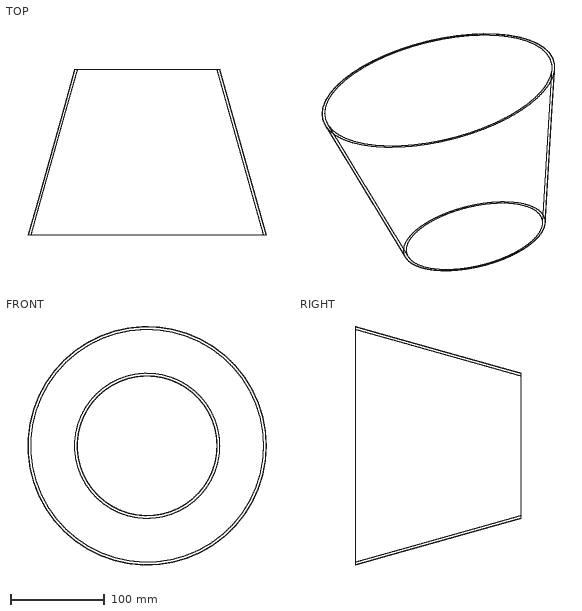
import cadquery as cq

length = 178.0
wide_diameter = 256.0
narrow_diameter = 156.0
radial_wall = 3.0

wide_radius = wide_diameter / 2
narrow_radius = narrow_diameter / 2

wall_section = (
    cq.Workplane("XY")
    .moveTo(wide_radius - radial_wall, 0)
    .lineTo(wide_radius, 0)
    .lineTo(narrow_radius, length)
    .lineTo(narrow_radius - radial_wall, length)
    .close()
)

result = wall_section.revolve(360, (0, 0, 0), (0, 1, 0))